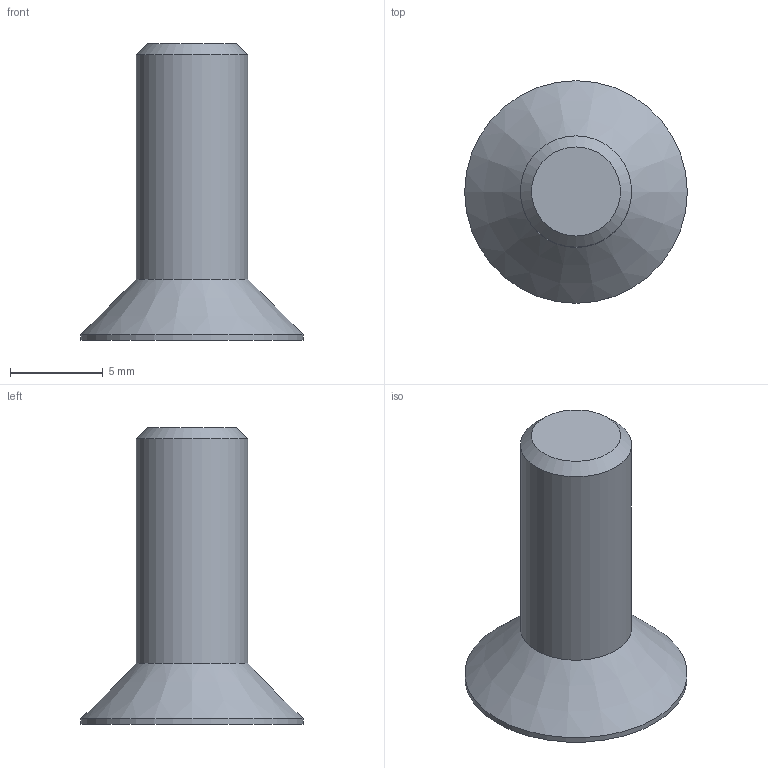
import cadquery as cq

total_length = 16.0
shank_diameter = 6.0
head_diameter = 12.0
rim_height = 0.3
tip_chamfer = 0.6

shank_radius = shank_diameter / 2
head_radius = head_diameter / 2
cone_height = head_radius - shank_radius
head_height = rim_height + cone_height
shank_length = total_length - head_height


def make_head():
    """Flat cylindrical rim at the bottom with the 45 degree cone above it."""
    half_profile = [
        (0, 0),
        (head_radius, 0),
        (head_radius, rim_height),
        (shank_radius, head_height),
        (0, head_height),
    ]
    return cq.Workplane("XZ").polyline(half_profile).close().revolve(360, (0, 0), (0, 1))


def make_shank():
    """Plain shank standing on the head, with a chamfered tip."""
    shank = cq.Workplane("XY").workplane(offset=head_height).circle(shank_radius).extrude(shank_length)
    return shank.faces(">Z").chamfer(tip_chamfer)


result = make_head().union(make_shank())